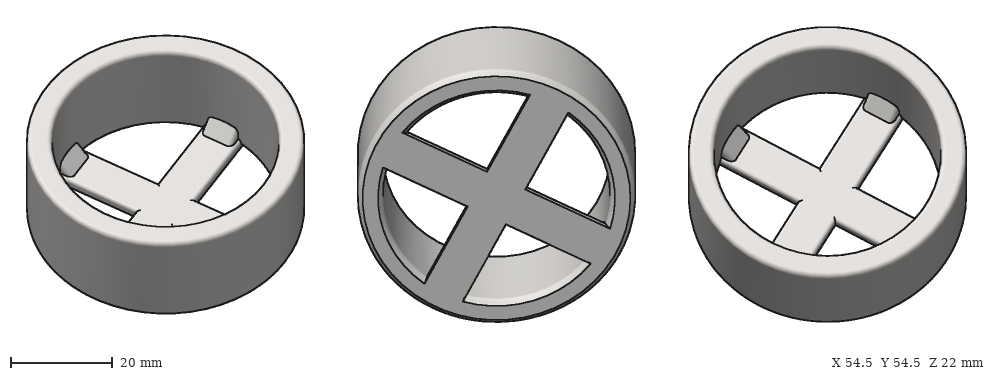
import cadquery as cq

outer_diameter = 54.5
inner_diameter = 44.5
height = 22.0
edge_radius = 1.0
bottom_chamfer = 1.0

bar_width = 8.45
bar_thickness = 2.0
bar_edge_radius = 0.7

wedge_width = bar_width - 2 * bar_edge_radius
wedge_inner_radius = 19.3
wedge_height = 2.95
wedge_edge_radius = 1.0

inner_radius = inner_diameter / 2
wall_middle_radius = (outer_diameter + inner_diameter) / 4


def make_ring():
    ring = cq.Workplane("XY").circle(outer_diameter / 2).circle(inner_radius).extrude(height)
    ring = ring.faces(">Z").edges().fillet(edge_radius)
    ring = ring.faces("<Z").edges().chamfer(bottom_chamfer)
    blend_zone = cq.selectors.BoxSelector(
        (-outer_diameter, -outer_diameter, bottom_chamfer / 2),
        (outer_diameter, outer_diameter, bottom_chamfer * 1.5),
        boundingbox=False,
    )
    return ring.edges("%CIRCLE").edges(blend_zone).fillet(edge_radius)


def make_cross():
    """Two crossing bars with rounded upper edges, ending inside the ring wall."""
    length = 2 * wall_middle_radius
    bar_along_x = cq.Workplane("XY").rect(length, bar_width).extrude(bar_thickness)
    bar_along_y = cq.Workplane("XY").rect(bar_width, length).extrude(bar_thickness)
    return bar_along_x.union(bar_along_y).faces(">Z").edges().fillet(bar_edge_radius)


def make_wedge(angle):
    """Sloped wedge with rounded side edges, rising from the cross to the wall."""
    slope = wedge_height / (inner_radius - wedge_inner_radius)
    top_height = bar_thickness + slope * (wall_middle_radius - wedge_inner_radius)
    foot_height = bar_thickness / 2
    foot_radius = wedge_inner_radius - (bar_thickness - foot_height) / slope
    wedge = (
        cq.Workplane("XZ")
        .moveTo(foot_radius, foot_height)
        .lineTo(wall_middle_radius, foot_height)
        .lineTo(wall_middle_radius, top_height)
        .close()
        .extrude(wedge_width / 2, both=True)
    )
    wedge = wedge.edges("#Y").edges("not(|X or |Y or |Z)").fillet(wedge_edge_radius)
    return wedge.rotate((0, 0, 0), (0, 0, 1), angle)


result = make_ring().union(make_cross())
for quarter in range(4):
    result = result.union(make_wedge(90 * quarter))